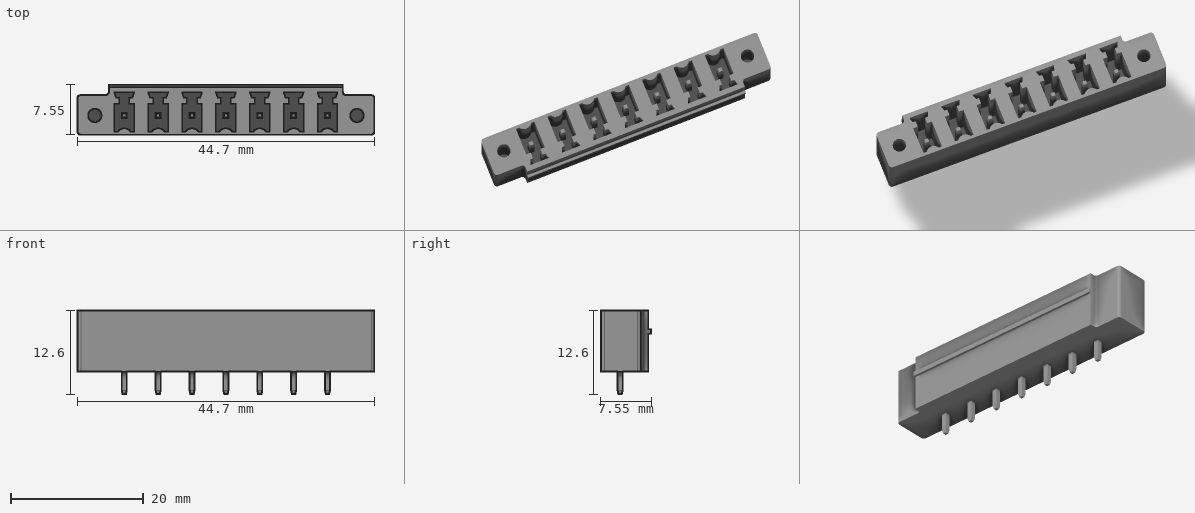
import cadquery as cq


length = 44.7
body_height = 9.2
ear_depth = 6.0
body_depth = 7.15
ear_length = 4.75
corner_radius = 0.5

rail_length = length - 2 * ear_length
rail_depth = 0.4
rail_height = 0.7
rail_drop = 2.8

ear_hole_diameter = 2.0
ear_hole_inset = 2.65
ear_hole_depth = 8.0

row_y = 2.9
contact_count = 7
contact_pitch = 5.1
front_wall = 0.45
pocket_depth = 8.0
chamber_width = 3.0
shoulder_y = 4.65
neck_width = 1.5
key_start_y = 5.6
key_end_y = 6.4
key_narrow_width = 2.4
rib_width = 1.95
rib_height = 0.55

pin_width = 0.8
pin_tip_width = 0.55
pin_tip_length = 0.6
pin_tail = 3.4
pin_top_drop = 2.5


def make_housing():
    """Deeper middle block with a shallower ear at each end, with every ear corner rounded."""
    half_length = length / 2
    half_middle = half_length - ear_length
    outline = [
        (-half_length, 0),
        (half_length, 0),
        (half_length, ear_depth),
        (half_middle, ear_depth),
        (half_middle, body_depth),
        (-half_middle, body_depth),
        (-half_middle, ear_depth),
        (-half_length, ear_depth),
    ]
    housing = cq.Workplane("XY").polyline(outline).close().extrude(body_height)
    outer_edges = housing.edges("|Z and (<X or >X)")
    inner_edges = housing.edges(cq.selectors.BoxSelector(
        (-half_length, ear_depth - corner_radius, 0),
        (half_length, ear_depth + corner_radius, body_height),
    )).edges("|Z")
    return outer_edges.add(inner_edges).fillet(corner_radius)


def make_rail():
    """Narrow rail standing out from the rear wall."""
    return cq.Workplane("XY").box(
        rail_length, rail_depth, rail_height, centered=(True, False, False)
    ).translate((0, body_depth, body_height - rail_drop - rail_height))


def make_ear_holes():
    """Blind holes, one in each ear."""
    hole_x = length / 2 - ear_hole_inset
    return (
        cq.Workplane("XY", origin=(0, 0, body_height))
        .pushPoints([(-hole_x, row_y), (hole_x, row_y)])
        .circle(ear_hole_diameter / 2)
        .extrude(-ear_hole_depth)
    )


def make_pocket():
    """Chamber with a round rib on its front wall, and a necked dovetail keyway behind it."""
    half_chamber = chamber_width / 2
    half_neck = neck_width / 2
    half_key = key_narrow_width / 2
    half_rib = rib_width / 2
    return (
        cq.Workplane("XY", origin=(0, 0, body_height))
        .moveTo(-half_chamber, front_wall)
        .lineTo(-half_rib, front_wall)
        .threePointArc((0, front_wall + rib_height), (half_rib, front_wall))
        .lineTo(half_chamber, front_wall)
        .lineTo(half_chamber, shoulder_y)
        .lineTo(half_neck, shoulder_y)
        .lineTo(half_neck, key_start_y)
        .lineTo(half_key, key_start_y)
        .lineTo(half_chamber, key_end_y)
        .lineTo(-half_chamber, key_end_y)
        .lineTo(-half_key, key_start_y)
        .lineTo(-half_neck, key_start_y)
        .lineTo(-half_neck, shoulder_y)
        .lineTo(-half_chamber, shoulder_y)
        .close()
        .extrude(-pocket_depth)
    )


def make_pin_tip(base_z, direction):
    """Tapered end of a pin, pointing up for direction 1 and down for -1."""
    return (
        cq.Workplane("XY", origin=(0, row_y, base_z))
        .rect(pin_width, pin_width)
        .workplane(offset=direction * pin_tip_length)
        .rect(pin_tip_width, pin_tip_width)
        .loft()
    )


def make_pin():
    """Square pin, tapered at both ends, running through the pocket floor."""
    shank_bottom = -pin_tail + pin_tip_length
    shank_top = body_height - pin_top_drop - pin_tip_length
    shank = (
        cq.Workplane("XY", origin=(0, row_y, shank_bottom))
        .rect(pin_width, pin_width)
        .extrude(shank_top - shank_bottom)
    )
    return shank.union(make_pin_tip(shank_top, 1)).union(make_pin_tip(shank_bottom, -1))


result = make_housing().union(make_rail()).cut(make_ear_holes())

pocket = make_pocket()
pin = make_pin()
for index in range(contact_count):
    contact_x = (index - (contact_count - 1) / 2) * contact_pitch
    result = result.cut(pocket.translate((contact_x, 0, 0)))
    result = result.union(pin.translate((contact_x, 0, 0)))